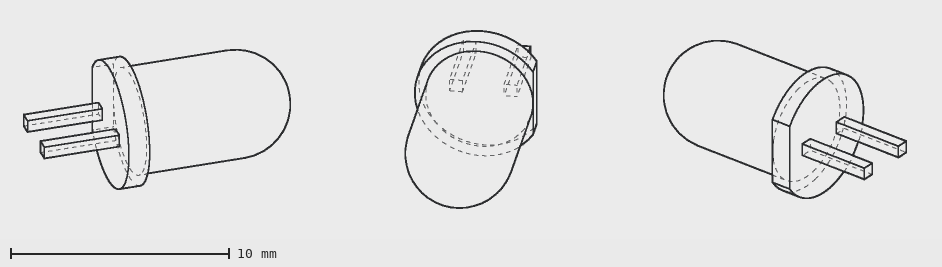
import cadquery as cq

total_length = 12.2
body_diameter = 5.0
flange_diameter = 6.0
flange_thickness = 1.0
lead_length = 3.6
lead_width = 0.6
lead_spacing = 2.54

body_radius = body_diameter / 2
flange_radius = flange_diameter / 2
wall_length = total_length - lead_length - flange_thickness - body_radius


def make_lens():
    """Cylinder with a hemispherical end, revolved about the Y axis."""
    dome_start = flange_thickness + wall_length
    dome_tip = dome_start + body_radius
    dome_mid = body_radius * 0.5 ** 0.5
    return (
        cq.Workplane("XY")
        .lineTo(body_radius, 0)
        .lineTo(body_radius, dome_start)
        .threePointArc((dome_mid, dome_start + dome_mid), (0, dome_tip))
        .close()
        .revolve(360, (0, 0, 0), (0, 1, 0))
    )


def make_flange():
    """Round flange with a flat on the -X side, flush with the body."""
    disc = cq.Workplane("XZ").circle(flange_radius).extrude(-flange_thickness)
    flat_keeper = cq.Workplane("XY").box(
        body_radius + flange_radius, flange_thickness, flange_diameter, centered=(False, False, True)
    ).translate((-body_radius, 0, 0))
    return disc.intersect(flat_keeper)


def make_leads():
    """Two square leads standing on the flange's back face, which lies at Y = 0."""
    return (
        cq.Workplane("XZ")
        .rarray(lead_spacing, 0.12, 2, 1)
        .rect(lead_width, lead_width)
        .extrude(lead_length)
    )


result = make_lens().union(make_flange()).union(make_leads())